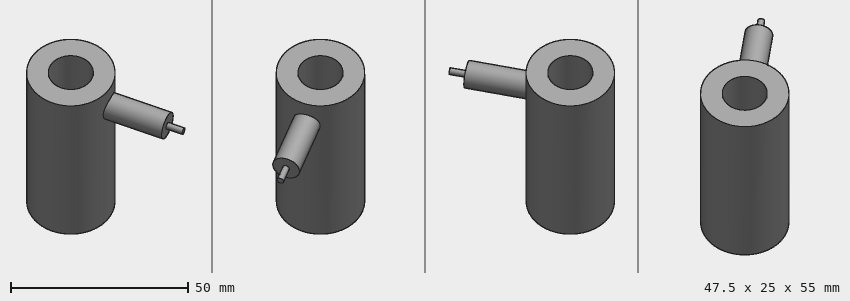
import cadquery as cq

sleeve_height = 55.0
sleeve_diameter = 25.0
bore_diameter = 12.7

outlet_diameter = 8.0
outlet_end_x = 30.0
pin_diameter = 2.0
pin_end_x = 35.0
outlet_axis_drop = 8.5
outlet_axis_z = sleeve_height - outlet_axis_drop

bore_radius = bore_diameter / 2
sleeve_radius = sleeve_diameter / 2
outlet_start_x = (bore_radius + sleeve_radius) / 2


def rod_along_x(diameter, start_x, end_x):
    """Solid rod on the outlet axis between two X positions."""
    plane = cq.Workplane("YZ", origin=(start_x, 0, outlet_axis_z))
    return plane.circle(diameter / 2).extrude(end_x - start_x)


sleeve = cq.Workplane("XY").circle(sleeve_radius).extrude(sleeve_height)
outlet = rod_along_x(outlet_diameter, outlet_start_x, outlet_end_x)
pin = rod_along_x(pin_diameter, outlet_start_x, pin_end_x)
bore = cq.Workplane("XY").circle(bore_radius).extrude(sleeve_height)

result = sleeve.union(outlet).union(pin).cut(bore)